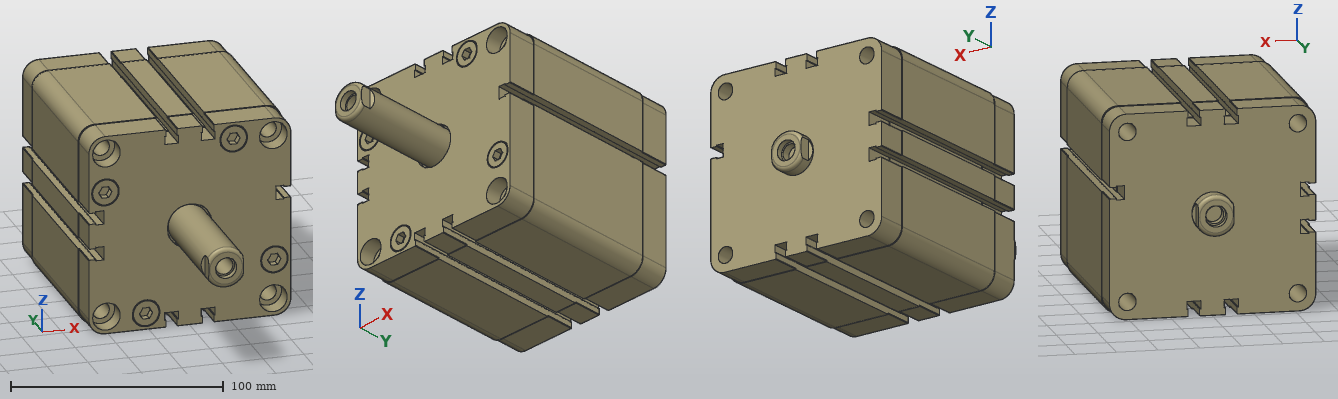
import cadquery as cq
import math


barrel_size = 100.0
barrel_length = 74.0
cap_inset = 0.4
cap_size = barrel_size - 2 * cap_inset
cap_length = 16.0
corner_radius = 8.0
housing_length = barrel_length + 2 * cap_length
front_face = -housing_length / 2
rear_face = housing_length / 2

slot_spacing = 18.0
slot_neck_width = 5.5
slot_mouth_chamfer = 0.3
slot_head_width = 6.7
slot_depth = 7.3
slot_neck_depth = 3.8
single_slot_height = 11.8

rod_diameter = 20.0
rod_front_reach = 58.0
rod_rear_reach = 8.0
rod_end_radius = 2.0
rod_front_end = front_face - rod_front_reach
rod_rear_end = rear_face + rod_rear_reach
flat_width = 17.0
flat_length = 6.0
flat_depth = (rod_diameter - flat_width) / 2
gland_diameter = 22.0
gland_depth = 2.0

bore_diameter = 8.57
bore_mouth_diameter = 10.25
bore_mouth_depth = 3.4
bore_depth = 20.0
bore_tip_angle = 118.0

mounting_spacing = 82.0
mounting_hole_diameter = 8.38
counterbore_diameter = 13.5
counterbore_depth = 9.0

screw_near_offset = 21.5
screw_far_offset = 41.5
screw_pocket_diameter = 13.5
screw_head_diameter = 12.5
screw_pocket_depth = 8.0
hex_across_flats = 5.5
hex_depth = 4.0


def plane_at(y):
    """Sketch plane at the given Y: local x is X, local y is Z, extrusion runs to -Y."""
    return cq.Workplane("XZ", origin=(0, y, 0))


def rounded_block(size, y_start, y_end):
    block = plane_at(y_end).rect(size, size).extrude(y_end - y_start)
    return block.edges("|Y").fillet(corner_radius)


def sensor_slot(offset, turn, inset, y_start, y_end):
    """T-slot cut into the top face, then turned about Y; inset lowers the face and the floor."""
    surface = barrel_size / 2 - inset
    neck = slot_neck_width / 2
    head = slot_head_width / 2
    shoulder = barrel_size / 2 - slot_neck_depth
    floor = barrel_size / 2 - slot_depth - inset
    outline = [
        (offset - neck, surface),
        (offset - neck, shoulder),
        (offset - head, shoulder),
        (offset - head, floor),
        (offset + head, floor),
        (offset + head, shoulder),
        (offset + neck, shoulder),
        (offset + neck, surface),
    ]
    slot = plane_at(y_end).polyline(outline).close().extrude(y_end - y_start)
    return slot.rotate((0, 0, 0), (0, 1, 0), turn)


def slot_mouth(offset, turn, y_start, y_end):
    """Bevel along both lips of a slot in an end cap."""
    surface = cap_size / 2
    lip = surface - slot_mouth_chamfer
    neck = slot_neck_width / 2
    mouth = neck + slot_mouth_chamfer
    outline = [
        (offset - mouth, surface),
        (offset - neck, lip),
        (offset + neck, lip),
        (offset + mouth, surface),
    ]
    bevel = plane_at(y_end).polyline(outline).close().extrude(y_end - y_start)
    return bevel.rotate((0, 0, 0), (0, 1, 0), turn)


def slot_places():
    """Offset along the face and turn about Y of each slot: two on three sides, one at +X."""
    places = [(-single_slot_height, 90)]
    for turn in (0, 180, 270):
        for side in (-1, 1):
            places.append((side * slot_spacing / 2, turn))
    return places


def make_barrel(y_start, y_end):
    barrel = rounded_block(barrel_size, y_start, y_end)
    for offset, turn in slot_places():
        barrel = barrel.cut(sensor_slot(offset, turn, 0, y_start, y_end))
    return barrel


def make_cap(y_start, y_end):
    cap = rounded_block(cap_size, y_start, y_end)
    for offset, turn in slot_places():
        cap = cap.cut(sensor_slot(offset, turn, cap_inset, y_start, y_end))
        cap = cap.cut(slot_mouth(offset, turn, y_start, y_end))
    return cap


def make_housing():
    barrel_front = front_face + cap_length
    barrel_rear = rear_face - cap_length
    barrel = make_barrel(barrel_front, barrel_rear)
    front_cap = make_cap(front_face, barrel_front)
    rear_cap = make_cap(barrel_rear, rear_face)
    return barrel.union(front_cap).union(rear_cap)


def cut_mounting_holes(body):
    reach = mounting_spacing / 2
    corners = [(x, z) for x in (-reach, reach) for z in (-reach, reach)]
    holes = (
        plane_at(rear_face)
        .pushPoints(corners)
        .circle(mounting_hole_diameter / 2)
        .extrude(housing_length)
    )
    counterbores = (
        plane_at(front_face + counterbore_depth)
        .pushPoints(corners)
        .circle(counterbore_diameter / 2)
        .extrude(counterbore_depth)
    )
    return body.cut(holes).cut(counterbores)


def cut_screws(body):
    """Leave each socket screw head standing in its pocket, flush with the front face."""
    hex_across_corners = hex_across_flats / math.cos(math.radians(30))
    centres = [
        (screw_near_offset, screw_far_offset),
        (screw_far_offset, -screw_near_offset),
        (-screw_near_offset, -screw_far_offset),
        (-screw_far_offset, screw_near_offset),
    ]
    gaps = (
        plane_at(front_face + screw_pocket_depth)
        .pushPoints(centres)
        .circle(screw_pocket_diameter / 2)
        .circle(screw_head_diameter / 2)
        .extrude(screw_pocket_depth)
    )
    sockets = (
        plane_at(front_face + hex_depth)
        .pushPoints(centres)
        .polygon(6, hex_across_corners)
        .extrude(hex_depth)
    )
    return body.cut(gaps).cut(sockets)


def cut_rod_gland(body):
    gland = plane_at(front_face + gland_depth).circle(gland_diameter / 2).extrude(gland_depth)
    return body.cut(gland)


def rod_end_flats(end, inward):
    """Two wrench-flat cutters with 45 degree run-outs; inward is the Y sense into the rod."""
    flat = flat_width / 2
    rim = flat + flat_depth
    run_out_start = end + inward * flat_length
    run_out_end = run_out_start + inward * flat_depth
    outline = [(flat, end), (flat, run_out_start), (rim, run_out_end), (rim, end)]
    cutter = cq.Workplane("XY").polyline(outline).close().extrude(rod_diameter / 2, both=True)
    return cutter.union(cutter.mirror("YZ"))


def rod_end_bore(end, inward):
    """Drilled bore with a wider, square-stepped mouth and a conical tip."""
    radius = bore_diameter / 2
    mouth_radius = bore_mouth_diameter / 2
    tip_depth = bore_depth + radius / math.tan(math.radians(bore_tip_angle / 2))
    profile = [
        (0, end),
        (mouth_radius, end),
        (mouth_radius, end + inward * bore_mouth_depth),
        (radius, end + inward * bore_mouth_depth),
        (radius, end + inward * bore_depth),
        (0, end + inward * tip_depth),
    ]
    return cq.Workplane("XY").polyline(profile).close().revolve(360, (0, 0, 0), (0, 1, 0))


def make_rod():
    rod = plane_at(rod_rear_end).circle(rod_diameter / 2).extrude(rod_rear_end - rod_front_end)
    rod = rod.faces("<Y or >Y").edges().fillet(rod_end_radius)
    for end, inward in ((rod_front_end, 1), (rod_rear_end, -1)):
        rod = rod.cut(rod_end_flats(end, inward))
        rod = rod.cut(rod_end_bore(end, inward))
    return rod


housing = make_housing()
housing = cut_mounting_holes(housing)
housing = cut_screws(housing)
housing = cut_rod_gland(housing)
result = housing.union(make_rod())